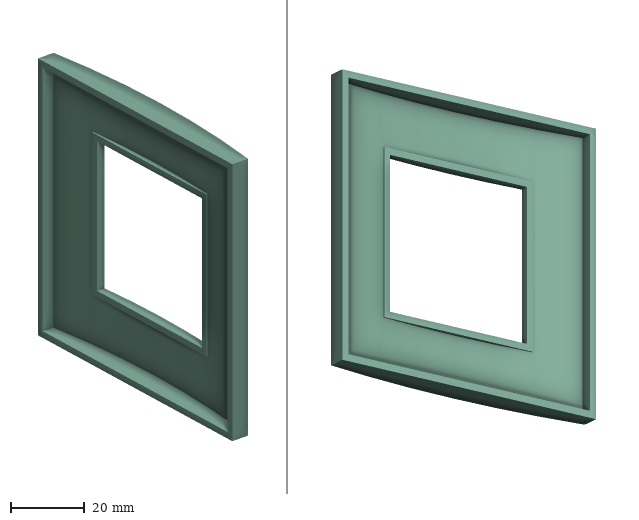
import cadquery as cq

side = 84.0
depth = 8.5
edge_depth = 5.5
wall = 2.0
shell = 2.0

window = 45.4
collar_wall = 1.9
collar_front = 5.0

half = side / 2
bow = depth - edge_depth
bow_radius = (half**2 + bow**2) / (2 * bow)
axis_y = depth - bow_radius


def square_block(size, y_start, y_end):
    """Centred square prism running along Y."""
    return cq.Workplane("XY").box(size, y_end - y_start, size).translate((0, (y_start + y_end) / 2, 0))


def bow_cylinder(radius):
    """Cylinder about the vertical bow axis, taller than the frame."""
    return cq.Workplane("XY").center(0, axis_y).circle(radius).extrude(side, both=True)


outer_body = square_block(side, 0, depth).intersect(bow_cylinder(bow_radius))

pocket = square_block(side - 2 * wall, 0, depth).intersect(bow_cylinder(bow_radius - shell))

collar = square_block(window + 2 * collar_wall, collar_front, depth)
pocket = pocket.cut(collar)

result = outer_body.cut(pocket).cut(square_block(window, 0, depth))